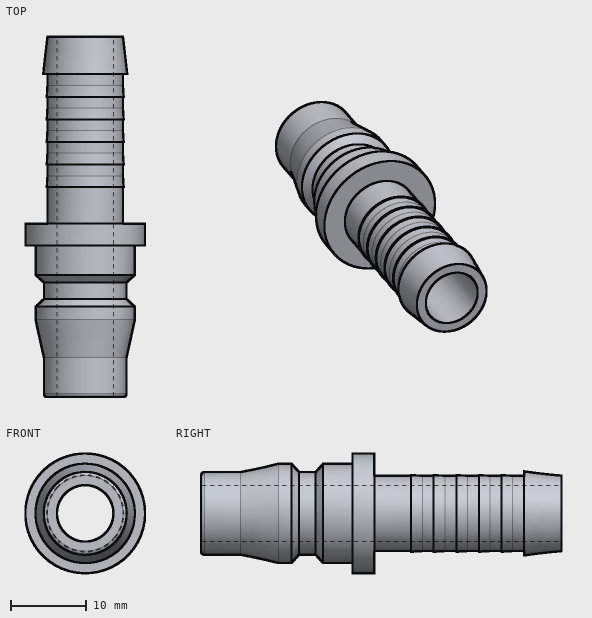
import cadquery as cq

total_length = 48.0
bore_radius = 3.75

nose_radius = 5.5
nose_length = 5.3
nose_rounding = 0.5
body_radius = 6.6
nose_cone_end = 10.3
locking_groove_start = 12.05
locking_groove_end = 16.25
groove_depth = body_radius - nose_radius
groove_wall_length = 1.0

flange_radius = 16.0 / 2
flange_start = 20.15
flange_end = 23.1

stem_radius = 5.05
end_barb_radius = 5.6
end_barb_length = 5.0
ridge_radius = 5.15
ridge_count = 5
ridge_length = 1.5
ridge_span = 12.0
ridge_pitch = ridge_span / (ridge_count - 1)
first_ridge_offset = 6.55


def turned(points):
    """Revolve a closed (radius, Y) outline about the Y axis."""
    return cq.Workplane("XY").polyline(points).close().revolve(360, (0, 0, 0), (0, 1, 0))


def make_plug():
    """Rounded nose, cone and body with a V-sided locking groove."""
    plug = turned([
        (0, 0),
        (nose_radius, 0),
        (nose_radius, nose_length),
        (body_radius, nose_cone_end),
        (body_radius, locking_groove_start),
        (body_radius - groove_depth, locking_groove_start + groove_wall_length),
        (body_radius - groove_depth, locking_groove_end - groove_wall_length),
        (body_radius, locking_groove_end),
        (body_radius, flange_start),
        (0, flange_start),
    ])
    return plug.faces("<Y").edges().fillet(nose_rounding)


def make_flange():
    return turned([
        (0, flange_start),
        (flange_radius, flange_start),
        (flange_radius, flange_end),
        (0, flange_end),
    ])


def make_hose_stem():
    """Straight stem with shallow tapered ridges and a longer barb at its end."""
    barb_step = total_length - end_barb_length
    outline = [(0, flange_end), (stem_radius, flange_end)]
    for index in reversed(range(ridge_count)):
        ridge_tip = total_length - first_ridge_offset - index * ridge_pitch
        ridge_step = ridge_tip - ridge_length
        outline += [
            (stem_radius, ridge_step),
            (ridge_radius, ridge_step),
            (stem_radius, ridge_tip),
        ]
    outline += [
        (stem_radius, barb_step),
        (end_barb_radius, barb_step),
        (stem_radius, total_length),
        (0, total_length),
    ]
    return turned(outline)


def make_bore():
    """Straight passage through the whole length."""
    return turned([
        (0, 0),
        (bore_radius, 0),
        (bore_radius, total_length),
        (0, total_length),
    ])


result = make_plug().union(make_flange()).union(make_hose_stem()).cut(make_bore())